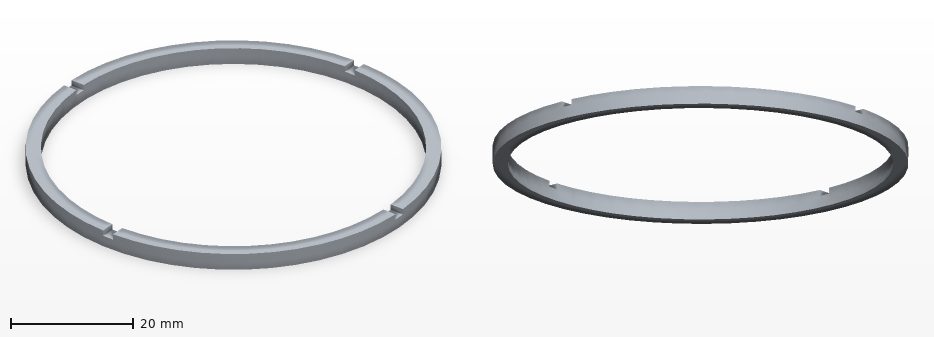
import cadquery as cq

outer_diameter = 68.0
wall_thickness = 2.5
ring_height = 3.0

notch_width = 2.0
notch_depth = 1.0

inner_diameter = outer_diameter - 2 * wall_thickness


def make_ring():
    """Plain flat ring standing on the XY plane."""
    return (
        cq.Workplane("XY")
        .circle(outer_diameter / 2)
        .circle(inner_diameter / 2)
        .extrude(ring_height)
    )


def cut_notches(ring):
    """Cut two crossed slots through the top, leaving four notches in the wall."""
    notch_floor = ring_height - notch_depth
    for angle in (0, 90):
        slot = (
            cq.Workplane("XY", origin=(0, 0, notch_floor))
            .rect(outer_diameter, notch_width)
            .extrude(notch_depth)
            .rotate((0, 0, 0), (0, 0, 1), angle)
        )
        ring = ring.cut(slot)
    return ring


result = cut_notches(make_ring())